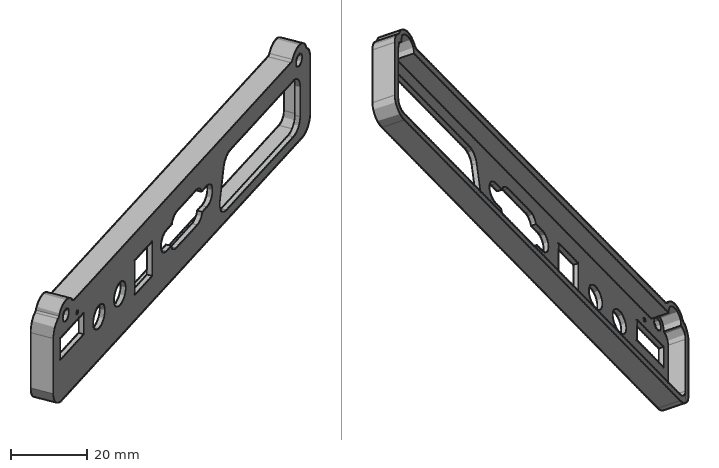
import cadquery as cq

length = 154.8
depth = 6.8
overall_height = 29.7
body_height = 27.1
corner_radius = 5.0
floor_thickness = 1.5

wall = 2.0
top_wall = 2.3
pocket_depth = depth - floor_thickness
pocket_height = body_height - wall - top_wall
pocket_corner_radius = corner_radius - wall

boss_radius = 4.6
boss_pocket_radius = 3.2
boss_z = overall_height - boss_radius
boss_centers = [(70.5, boss_z), (-69.8, boss_z)]
boss_blend_radius = 1.1
screw_hole_diameter = 3.5

end_slope_drop = 0.2

window_left = 71.2
window_right_top = 26.0
window_right_bottom = 21.7
window_bottom = 3.2
window_top = 20.6
window_corner_radius = 4.0

connector_y = 3.0
connector_z = 14.1
connector_height = 11.1
connector_top_width = 17.3
connector_bottom_width = 19.5
connector_corner_radius = 3.1
ear_span = 31.0
ear_height = 6.5

socket_width = 10.4
socket_height = 10.7
socket_center = (-23.0, 13.3)
jack_diameter = 7.0
jack_centers = [(-37.3, 13.3), (-49.8, 13.3)]
port_width = 14.1
port_height = 6.7
port_center = (-66.1, 16.4)
indicator_diameter = 1.1
indicator_center = (-63.0, 22.1)


def profile():
    """Start a profile whose local axes are Y and Z; it extrudes from X = 0 towards +X."""
    return cq.Workplane("YZ")


def rounded_block(width, height, center_z, thickness, radius):
    block = profile().center(0, center_z).rect(width, height).extrude(thickness)
    return block.edges("|X").fillet(radius)


def make_outer_body():
    body = rounded_block(length, body_height, body_height / 2, depth, corner_radius)
    bosses = profile().pushPoints(boss_centers).circle(boss_radius).extrude(depth)
    body = body.union(bosses)
    joints = cq.selectors.BoxSelector(
        (0, -length, body_height - corner_radius / 2),
        (depth, length, overall_height),
    )
    return body.edges("|X").edges(joints).fillet(boss_blend_radius)


def make_pocket():
    pocket = rounded_block(
        length - 2 * wall,
        pocket_height,
        wall + pocket_height / 2,
        pocket_depth,
        pocket_corner_radius,
    )
    boss_pockets = profile().pushPoints(boss_centers).circle(boss_pocket_radius).extrude(pocket_depth)
    return pocket.union(boss_pockets)


def make_end_slope():
    end_y = -length / 2
    corners = [(0, end_y), (end_slope_drop, end_y), (0, end_y + wall)]
    return cq.Workplane("XY").polyline(corners).close().extrude(overall_height)


def make_window():
    corners = [
        (window_left, window_bottom),
        (window_right_bottom, window_bottom),
        (window_right_top, window_top),
        (window_left, window_top),
    ]
    window = profile().polyline(corners).close().extrude(depth)
    return window.edges("|X").fillet(window_corner_radius)


def make_connector_opening():
    half_height = connector_height / 2
    corners = [
        (-connector_bottom_width / 2, -half_height),
        (connector_bottom_width / 2, -half_height),
        (connector_top_width / 2, half_height),
        (-connector_top_width / 2, half_height),
    ]
    shell = profile().polyline(corners).close().extrude(depth)
    shell = shell.edges("|X").fillet(connector_corner_radius)
    ears = profile().slot2D(ear_span, ear_height).extrude(depth)
    return shell.union(ears).translate((0, connector_y, connector_z))


def make_rectangle(center, width, height):
    return profile().center(*center).rect(width, height).extrude(depth)


def make_round_holes(centers, diameter):
    return profile().pushPoints(centers).circle(diameter / 2).extrude(depth)


cuts = [
    make_pocket(),
    make_end_slope(),
    make_window(),
    make_connector_opening(),
    make_rectangle(socket_center, socket_width, socket_height),
    make_rectangle(port_center, port_width, port_height),
    make_round_holes(boss_centers, screw_hole_diameter),
    make_round_holes(jack_centers, jack_diameter),
    make_round_holes([indicator_center], indicator_diameter),
]

result = make_outer_body()
for cut in cuts:
    result = result.cut(cut)